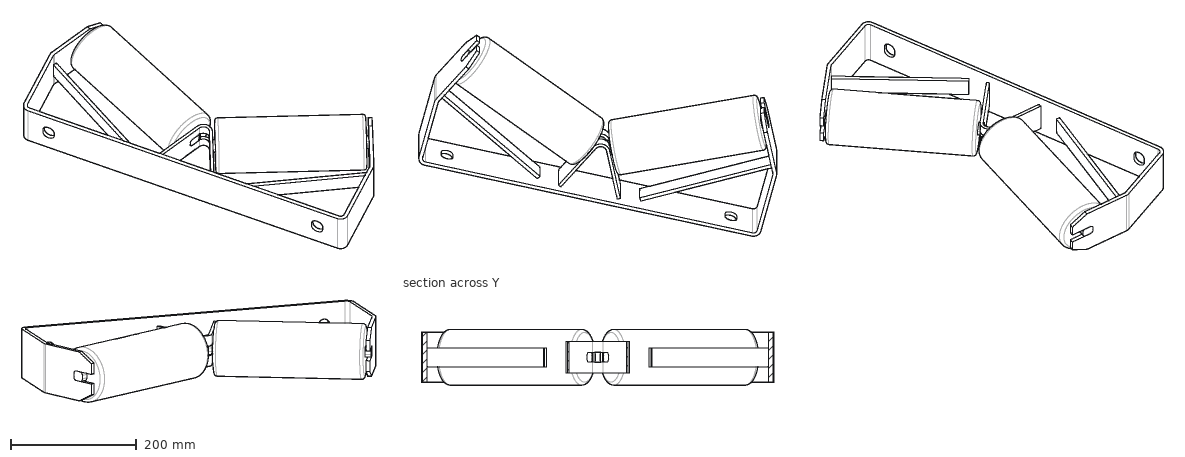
import cadquery as cq
import math

frame_length = 560.0
frame_height = 80.0
plate_thickness = 6.0
bend_radius = 12.5
knee_y = 118.0
arm_length = 106.0
arm_tilt = 25.0
arm_corner_length = 27.5
arm_corner_height = 14.5
mount_slot_spacing = 465.0
mount_slot_width = 19.0
mount_slot_height = 27.0

roller_diameter = 89.0
roller_length = 240.0
roller_edge_radius = 5.0
roller_gap = 4.0
shaft_width = 19.0
shaft_height = 15.5
shaft_edge_radius = 5.0
shaft_on_arm = 76.0

bracket_height = 50.5
bracket_thickness = 5.0
crown_radius = 14.5
strut_height = 30.0
strut_slope = 30.0

tilt = math.radians(arm_tilt)
slope = math.radians(strut_slope)
half_length = frame_length / 2
arm_direction = cq.Vector(math.sin(tilt), math.cos(tilt), 0)
axis_direction = cq.Vector(math.cos(tilt), -math.sin(tilt), 0)
left_knee = cq.Vector(-half_length, knee_y, 0)
bracket_distance = plate_thickness + roller_length + 2 * roller_gap
shaft_length = bracket_distance + bracket_thickness


def mirrored(body):
    return body.mirror("YZ")


def shaft_plane(distance):
    """Plane square to the left shaft, local X up the arm, `distance` inward from the arm's outer face."""
    origin = left_knee + arm_direction * shaft_on_arm + axis_direction * distance
    return cq.Workplane(cq.Plane(origin=origin, xDir=arm_direction, normal=axis_direction))


def inner_corners(outer_corners, thickness):
    """Corners of the inner face, one thickness to the left of the outer face."""
    directions = [(b - a).normalized() for a, b in zip(outer_corners, outer_corners[1:])]
    before = [directions[0]] + directions
    after = directions + [directions[-1]]
    corners = []
    for corner, d1, d2 in zip(outer_corners, before, after):
        left1 = cq.Vector(-d1.y, d1.x, 0)
        left2 = cq.Vector(-d2.y, d2.x, 0)
        miter = (left1 + left2) * (thickness / (1 + left1.dot(left2)))
        corners.append(corner + miter)
    return corners


def draw_rounded(outline, corners, radius):
    """Continue an outline to the last corner, rounding every corner between first and last."""
    for previous, corner, following in zip(corners, corners[1:], corners[2:]):
        back = (previous - corner).normalized()
        ahead = (following - corner).normalized()
        half_angle = back.getAngle(ahead) / 2
        tangent_length = radius / math.tan(half_angle)
        middle_distance = radius / math.sin(half_angle) - radius
        start = corner + back * tangent_length
        middle = corner + (back + ahead).normalized() * middle_distance
        end = corner + ahead * tangent_length
        outline = outline.lineTo(start.x, start.y).threePointArc((middle.x, middle.y), (end.x, end.y))
    return outline.lineTo(corners[-1].x, corners[-1].y)


def folded_plate(outer_corners, thickness, outer_radius, height):
    """Plate folded toward its left side, centred on Z = 0."""
    inner = inner_corners(outer_corners, thickness)[::-1]
    outline = cq.Workplane("XY").moveTo(outer_corners[0].x, outer_corners[0].y)
    outline = draw_rounded(outline, outer_corners, outer_radius)
    outline = outline.lineTo(inner[0].x, inner[0].y)
    outline = draw_rounded(outline, inner, outer_radius - thickness)
    return outline.close().extrude(height / 2, both=True)


def make_shaft(distance, length):
    section = shaft_plane(distance).rect(shaft_width, shaft_height)
    long_edges = cq.selectors.ParallelDirSelector(axis_direction)
    return section.extrude(length).edges(long_edges).fillet(shaft_edge_radius)


def shaft_slot(distance, thickness, run):
    """Cutter through one plate: the shaft's seat, open for `run` up the arm direction."""
    opening = shaft_plane(distance).center(run / 2, 0).rect(run, shaft_height).extrude(thickness)
    return make_shaft(distance, thickness).union(opening)


def arm_tip_corners():
    """Cutter for the two sloping corners at the tip of the left arm."""
    tip = arm_length - shaft_on_arm
    edge = frame_height / 2
    corners = cq.Workplane("XY")
    for side in (1, -1):
        corner = [
            (tip, side * edge),
            (tip - arm_corner_length, side * edge),
            (tip, side * (edge - arm_corner_height)),
        ]
        corners = corners.add(shaft_plane(0).polyline(corner).close().extrude(plate_thickness))
    return corners.combine()


def make_frame():
    left_tip = left_knee + arm_direction * arm_length
    left_side = [left_tip, left_knee, cq.Vector(-half_length, 0, 0)]
    right_side = [cq.Vector(-p.x, p.y, 0) for p in reversed(left_side)]
    frame = folded_plate(left_side + right_side, plate_thickness, bend_radius, frame_height)
    for cutter in (shaft_slot(0, plate_thickness, arm_length - shaft_on_arm), arm_tip_corners()):
        frame = frame.cut(cutter).cut(mirrored(cutter))
    mount_slots = (
        cq.Workplane("XZ")
        .pushPoints([(-mount_slot_spacing / 2, 0), (mount_slot_spacing / 2, 0)])
        .slot2D(mount_slot_height, mount_slot_width, 90)
        .extrude(-plate_thickness)
    )
    return frame.cut(mount_slots)


def make_roller():
    """Left roller with its shaft, whose ends lie flush with the arm and the bracket leg."""
    shell = (
        shaft_plane(plate_thickness + roller_gap)
        .circle(roller_diameter / 2)
        .extrude(roller_length)
        .edges("%CIRCLE")
        .fillet(roller_edge_radius)
    )
    return shell.union(make_shaft(0, shaft_length))


def make_bracket():
    seat = left_knee + arm_direction * shaft_on_arm + axis_direction * bracket_distance
    apex = seat - arm_direction * (seat.x / arm_direction.x)
    foot_y = plate_thickness + bracket_thickness * math.sin(tilt)
    left_foot = seat + arm_direction * ((foot_y - seat.y) / arm_direction.y)
    right_foot = cq.Vector(-left_foot.x, left_foot.y, 0)
    bracket = folded_plate([right_foot, apex, left_foot], bracket_thickness, crown_radius, bracket_height)

    crown_start = apex - arm_direction * (crown_radius / math.tan(tilt))
    leg_slot = shaft_slot(bracket_distance, bracket_thickness, (crown_start - seat).Length)
    crown_slot = (
        cq.Workplane("XY")
        .box(2 * abs(crown_start.x), apex.y - crown_start.y, shaft_height, centered=(True, False, True))
        .translate((0, crown_start.y, 0))
    )
    return bracket.cut(leg_slot).cut(mirrored(leg_slot)).cut(crown_slot)


def make_strut():
    """Left brace, from the top of the wall's flat inner face down to the base."""
    wall_top = knee_y - bend_radius * math.tan(tilt / 2)
    length = (wall_top - plate_thickness) / math.sin(slope)
    return (
        cq.Workplane("XY")
        .box(length, plate_thickness, strut_height, centered=(False, False, True))
        .rotate((0, 0, 0), (0, 0, 1), -strut_slope)
        .translate((-half_length + plate_thickness, wall_top, 0))
    )


frame = make_frame()
bracket = make_bracket()
pairs = []
for make_body in (make_roller, make_strut):
    left_body = make_body()
    pairs += [left_body.val(), mirrored(left_body).val()]

result = cq.Compound.makeCompound([frame.val(), bracket.val(), *pairs])